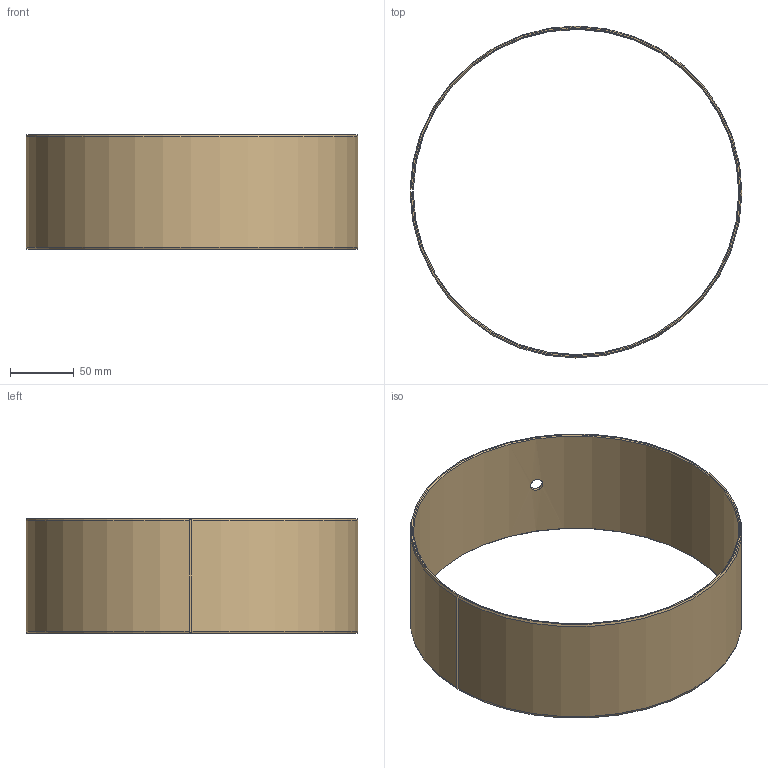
import cadquery as cq
import math

outer_diameter = 260.0
wall_thickness = 2.5
height = 90.0
outer_chamfer_height = 1.8
outer_chamfer_angle = 20.0
inner_chamfer = 0.8
gap_angle = 1.0
hole_diameter = 10.0
hole_angle = 59.0

outer_radius = outer_diameter / 2
inner_radius = outer_radius - wall_thickness
half_height = height / 2
outer_chamfer_depth = outer_chamfer_height * math.tan(math.radians(outer_chamfer_angle))
hole_cutter_length = 4 * wall_thickness


def make_band():
    """Open ring centred on the origin, with a steep outer and a 45 degree inner chamfer on each rim."""
    outer_x = -outer_radius
    inner_x = -inner_radius
    rim_outer_x = outer_x + outer_chamfer_depth
    rim_inner_x = inner_x - inner_chamfer
    outer_wall_z = half_height - outer_chamfer_height
    inner_wall_z = half_height - inner_chamfer
    section = (
        cq.Workplane("XZ")
        .moveTo(outer_x, -outer_wall_z)
        .lineTo(outer_x, outer_wall_z)
        .lineTo(rim_outer_x, half_height)
        .lineTo(rim_inner_x, half_height)
        .lineTo(inner_x, inner_wall_z)
        .lineTo(inner_x, -inner_wall_z)
        .lineTo(rim_inner_x, -half_height)
        .lineTo(rim_outer_x, -half_height)
        .close()
    )
    return section.revolve(360 - gap_angle, (0, 0, 0), (0, 1, 0))


def make_hole_cutter():
    """Radial pin that pierces the wall at mid-height."""
    cutter_start = outer_radius - (wall_thickness + hole_cutter_length) / 2
    return (
        cq.Workplane("YZ", origin=(cutter_start, 0, 0))
        .circle(hole_diameter / 2)
        .extrude(hole_cutter_length)
        .rotate((0, 0, 0), (0, 0, 1), hole_angle)
    )


result = make_band().cut(make_hole_cutter())